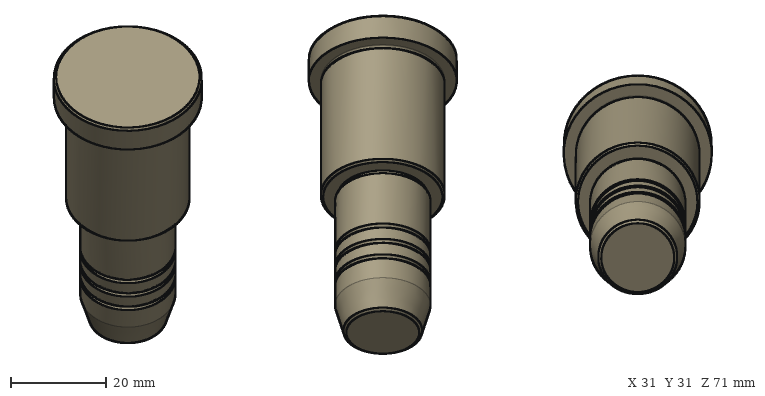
import cadquery as cq
import math

total_length = 71.0
head_diameter = 31.0
head_height = 6.0
head_chamfer = 0.5
body_diameter = 26.0
body_bottom = 35.0
body_chamfer = 0.5
shank_diameter = 20.0
taper_height = 6.95
taper_angle = 15.0
tip_chamfer = 0.5

head_relief_depth = 0.4
neck_depth = 0.5
neck_width = 1.1

groove_depth = 0.5
groove_pitch = 4.0
groove_count = 3
lowest_groove_center = 12.5

head_bottom = total_length - head_height
body_radius = body_diameter / 2
shank_radius = shank_diameter / 2
neck_bottom = body_bottom - neck_width
tip_radius = shank_radius - taper_height * math.tan(math.radians(taper_angle))


def cylinder(diameter, bottom, top):
    return cq.Workplane("XY").workplane(offset=bottom).circle(diameter / 2).extrude(top - bottom)


def round_groove(radius, depth, center):
    """Torus cutter that leaves a semicircular groove centred at height center."""
    return cq.Workplane("XZ").center(radius, center).circle(depth).revolve(360, (-radius, 0, 0), (-radius, 1, 0))


head = cylinder(head_diameter, head_bottom, total_length).faces(">Z").edges().chamfer(head_chamfer)

body = cylinder(body_diameter, body_bottom, head_bottom).faces("<Z").edges().chamfer(body_chamfer)
body = body.cut(round_groove(body_radius, head_relief_depth, head_bottom - head_relief_depth))

neck = cylinder(shank_diameter - 2 * neck_depth, neck_bottom, body_bottom)
shank = cylinder(shank_diameter, taper_height, neck_bottom)
for index in range(groove_count):
    shank = shank.cut(round_groove(shank_radius, groove_depth, lowest_groove_center + index * groove_pitch))

tip = (
    cq.Workplane("XZ")
    .polyline([(0, 0), (tip_radius, 0), (shank_radius, taper_height), (0, taper_height)])
    .close()
    .revolve(360, (0, 0, 0), (0, 1, 0))
    .faces("<Z")
    .edges()
    .chamfer(tip_chamfer)
)

result = head.union(body).union(neck).union(shank).union(tip)